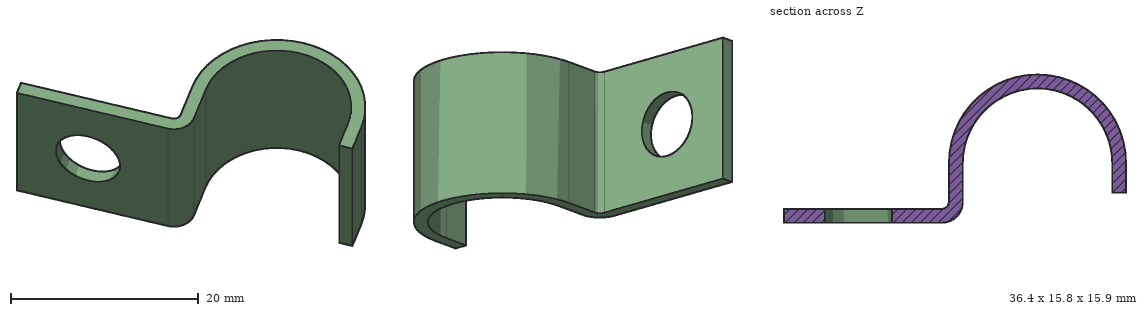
import cadquery as cq

strip_width = 15.88
thickness = 1.5
saddle_inner_radius = strip_width / 2
total_length = 36.44
total_height = 15.8
free_leg_length = 3.18
bend_inner_radius = thickness / 2
hole_diameter = 7.14
hole_edge_distance = strip_width / 2

saddle_outer_radius = saddle_inner_radius + thickness
bend_outer_radius = bend_inner_radius + thickness
flange_end_x = saddle_outer_radius - total_length
flange_front_y = saddle_outer_radius - total_height
flange_back_y = flange_front_y + thickness
bend_center_x = -saddle_outer_radius - bend_inner_radius
bend_center_y = flange_back_y + bend_inner_radius


def make_strip():
    """Bent strip: flat flange, bend, straight leg, half-round saddle, short free leg."""
    return (
        cq.Workplane("XY")
        .workplane(offset=-strip_width / 2)
        .moveTo(flange_end_x, flange_front_y)
        .lineTo(bend_center_x, flange_front_y)
        .radiusArc((-saddle_inner_radius, bend_center_y), -bend_outer_radius)
        .lineTo(-saddle_inner_radius, 0)
        .threePointArc((0, saddle_inner_radius), (saddle_inner_radius, 0))
        .lineTo(saddle_inner_radius, -free_leg_length)
        .lineTo(saddle_outer_radius, -free_leg_length)
        .lineTo(saddle_outer_radius, 0)
        .threePointArc((0, saddle_outer_radius), (-saddle_outer_radius, 0))
        .lineTo(-saddle_outer_radius, bend_center_y)
        .radiusArc((bend_center_x, flange_back_y), bend_inner_radius)
        .lineTo(flange_end_x, flange_back_y)
        .close()
        .extrude(strip_width)
    )


def make_screw_hole():
    """Cylinder along Y that passes through the flange only."""
    return (
        cq.Workplane("XZ", origin=(flange_end_x + hole_edge_distance, flange_back_y, 0))
        .circle(hole_diameter / 2)
        .extrude(thickness)
    )


result = make_strip().cut(make_screw_hole())